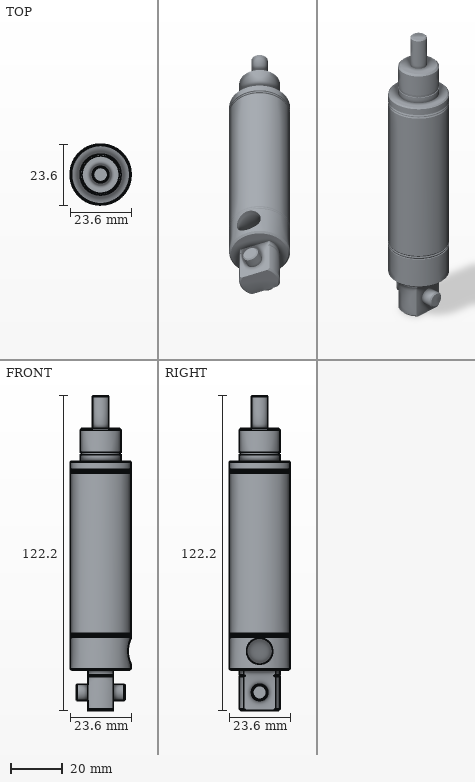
import cadquery as cq

TOTAL_HEIGHT = 122.17
INCH = 25.4

BODY_DIAMETER = 23.62
NECK_DIAMETER = 0.625 * INCH
NECK_LENGTH = 0.5 * INCH
LUG_LENGTH = 15.6
BODY_FRONT_CHAMFER = 0.5
BODY_REAR_CHAMFER = 0.7
NECK_CHAMFER = 0.7
LUG_CHAMFER = 0.7

ROD_DIAMETER = 0.25 * INCH
ROD_EXPOSED_LENGTH = 0.5 * INCH
ROD_SEAT_DEPTH = NECK_LENGTH
ROD_CHAMFER = 0.4

LUG_THICKNESS = 9.9
PIN_DIAMETER = 0.25 * INCH
PIN_LENGTH = 0.75 * INCH
PIN_CHAMFER = 0.5
PIN_HEIGHT = 7.05

PORT_DIAMETER = 10.1
PORT_DEPTH = 0.375 * INCH
PORT_ABOVE_BODY_BOTTOM = 7.45

NECK_GROOVE_DEPTH = 0.35
NECK_GROOVE_WIDTH = 1.1
NECK_GROOVE_BELOW_TOP = 9.75
LUG_GROOVE_DEPTH = 0.5
LUG_GROOVE_WIDTH = 0.75
LUG_GROOVE_BELOW_TOP = 2.1

RIDGE_CUTS = 2
RIDGE_DEPTH = 0.45
RIDGE_SLOPE_HEIGHT = 0.65
RIDGE_RIM_HEIGHT = 0.35
FRONT_BAND_BELOW_TOP = 3.1
REAR_BAND_ABOVE_BOTTOM = 12.8

BODY_BOTTOM = LUG_LENGTH
NECK_TOP = TOTAL_HEIGHT - ROD_EXPOSED_LENGTH
BODY_TOP = NECK_TOP - NECK_LENGTH


def cylinder(diameter, bottom, top):
    """Upright cylinder on the Z axis."""
    return cq.Workplane("XY").workplane(offset=bottom).circle(diameter / 2).extrude(top - bottom)


def ring(section):
    """Solid of revolution about Z from a closed (radius, height) outline."""
    return cq.Workplane("XZ").polyline(section).close().revolve(360, (0, 0, 0), (0, 1, 0))


def cut_square_groove(part, diameter, center, depth, width):
    """Cut a groove with straight walls around a cylinder."""
    surface = diameter / 2
    floor = surface - depth
    bottom = center - width / 2
    top = center + width / 2
    return part.cut(ring([(floor, bottom), (surface, bottom), (surface, top), (floor, top)]))


def cut_vee_groove(part, diameter, center, depth, width):
    """Cut a V-shaped groove around a cylinder."""
    surface = diameter / 2
    half_width = width / 2
    return part.cut(
        ring([(surface - depth, center), (surface, center - half_width), (surface, center + half_width)])
    )


def cut_ridged_band(part, start, direction):
    """Cut the ridges of one band, from a start height upward (direction 1) or downward (-1).

    Each cut has a square shoulder at its start and slopes back out to the surface.
    """
    surface = BODY_DIAMETER / 2
    for ridge in range(RIDGE_CUTS):
        shoulder = start + direction * ridge * (RIDGE_SLOPE_HEIGHT + RIDGE_RIM_HEIGHT)
        slope_end = shoulder + direction * RIDGE_SLOPE_HEIGHT
        part = part.cut(
            ring([(surface - RIDGE_DEPTH, shoulder), (surface, shoulder), (surface, slope_end)])
        )
    return part


def make_lug():
    """Round stub with two flats facing -X and +X."""
    stub = cylinder(NECK_DIAMETER, 0, BODY_BOTTOM).faces("<Z").chamfer(LUG_CHAMFER)
    stub = cut_vee_groove(
        stub, NECK_DIAMETER, BODY_BOTTOM - LUG_GROOVE_BELOW_TOP, LUG_GROOVE_DEPTH, LUG_GROOVE_WIDTH
    )
    slab = cq.Workplane("XY").box(
        LUG_THICKNESS, NECK_DIAMETER, BODY_BOTTOM, centered=(True, True, False)
    )
    return stub.intersect(slab)


def make_barrel():
    """Main barrel with chamfered ends and its two ridged bands."""
    barrel = cylinder(BODY_DIAMETER, BODY_BOTTOM, BODY_TOP)
    barrel = barrel.faces(">Z").chamfer(BODY_FRONT_CHAMFER).faces("<Z").chamfer(BODY_REAR_CHAMFER)
    barrel = cut_ridged_band(barrel, BODY_TOP - FRONT_BAND_BELOW_TOP, -1)
    return cut_ridged_band(barrel, BODY_BOTTOM + REAR_BAND_ABOVE_BOTTOM, 1)


def make_neck():
    """Mounting neck at the rod end, with one square groove."""
    neck = cylinder(NECK_DIAMETER, BODY_TOP, NECK_TOP).faces(">Z").chamfer(NECK_CHAMFER)
    return cut_square_groove(
        neck, NECK_DIAMETER, NECK_TOP - NECK_GROOVE_BELOW_TOP, NECK_GROOVE_DEPTH, NECK_GROOVE_WIDTH
    )


def make_port():
    """Blind round port, bored inward from the +X side."""
    return (
        cq.Workplane("YZ")
        .workplane(offset=BODY_DIAMETER / 2 - PORT_DEPTH)
        .center(0, BODY_BOTTOM + PORT_ABOVE_BODY_BOTTOM)
        .circle(PORT_DIAMETER / 2)
        .extrude(BODY_DIAMETER)
    )


def make_rod():
    """Piston rod, seated in the neck."""
    rod = cylinder(ROD_DIAMETER, NECK_TOP - ROD_SEAT_DEPTH, TOTAL_HEIGHT)
    return rod.faces(">Z").chamfer(ROD_CHAMFER)


def make_pin():
    """Pivot pin along X, through the lug."""
    pin = (
        cq.Workplane("YZ")
        .center(0, PIN_HEIGHT)
        .circle(PIN_DIAMETER / 2)
        .extrude(PIN_LENGTH / 2, both=True)
    )
    return pin.faces("<X or >X").chamfer(PIN_CHAMFER)


def make_body(rod, pin):
    """Cylinder body with the port and the holes that the rod and pin fill."""
    body = make_barrel().union(make_neck()).union(make_lug())
    return body.cut(make_port()).cut(rod).cut(pin)


rod = make_rod()
pin = make_pin()
body = make_body(rod, pin)

result = cq.Compound.makeCompound([body.val(), rod.val(), pin.val()])